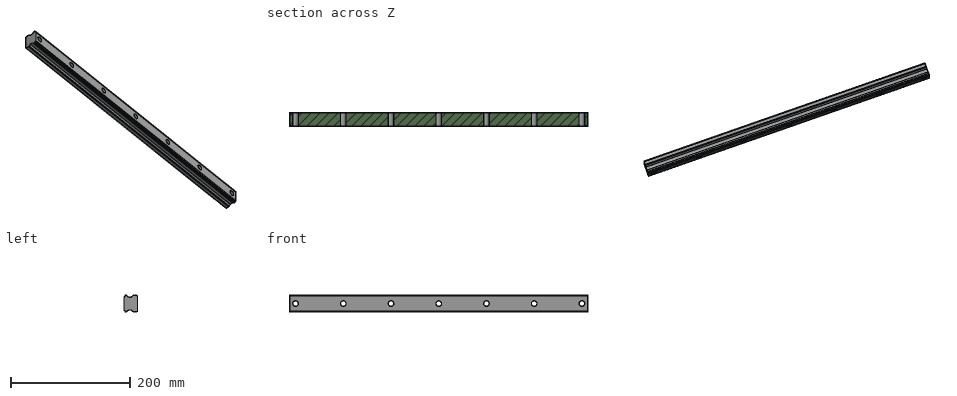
import cadquery as cq

length = 500.0
height = 23.0
width = 28.0

half_height = height / 2
half_width = width / 2
head_corner_half_width = 11.0
head_shoulder_y = 10.0
head_shoulder_half_width = 12.0
lip_corner_half_width = 13.5
lip_start_y = 9.5
lip_end_y = 7.5
groove_half_width = 11.0
groove_blend_y = 4.5
groove_blend_half_width = 11.5
groove_start_y = 2.5
groove_end_y = -1.0
base_shoulder_y = -3.5
base_shoulder_half_width = 13.5
base_start_y = -5.0
base_chamfer = 1.5

hole_diameter = 9.0
hole_count = 7
hole_pitch = 80.0


def rail_body():
    """Extrude the mirrored rail profile along X, centred on the origin."""
    upper_outline = [
        (half_height, 0),
        (half_height, head_corner_half_width),
        (head_shoulder_y, head_shoulder_half_width),
        (head_shoulder_y, lip_corner_half_width),
        (lip_start_y, half_width),
        (lip_end_y, half_width),
        (groove_blend_y, groove_blend_half_width),
        (groove_start_y, groove_half_width),
        (groove_end_y, groove_half_width),
        (base_shoulder_y, base_shoulder_half_width),
        (base_start_y, half_width),
        (-half_height + base_chamfer, half_width),
        (-half_height, half_width - base_chamfer),
        (-half_height, 0),
    ]
    profile = cq.Workplane("YZ").polyline(upper_outline).mirrorX()
    return profile.extrude(length / 2, both=True)


def mounting_holes():
    """Row of plain cylinders crossing the rail along Y."""
    return (
        cq.Workplane("XZ")
        .rarray(hole_pitch, 5, hole_count, 1)
        .circle(hole_diameter / 2)
        .extrude(height, both=True)
    )


result = rail_body().cut(mounting_holes())